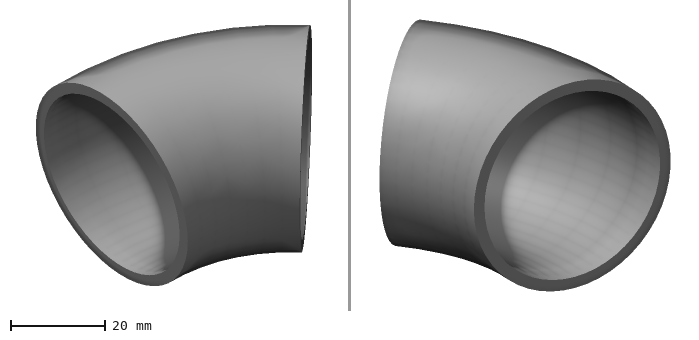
import cadquery as cq
import math

overall_length = 57.9
outer_diameter = 48.3
wall = 2.6
bend_angle = 45.0

outer_radius = outer_diameter / 2
inner_radius = outer_radius - wall

cos_bend = math.cos(math.radians(bend_angle))
bend_radius = (overall_length - outer_radius * (1 + cos_bend)) / (1 - cos_bend)

result = (
    cq.Workplane("XZ")
    .circle(outer_radius)
    .circle(inner_radius)
    .revolve(bend_angle, (bend_radius, 0), (bend_radius, -1))
)